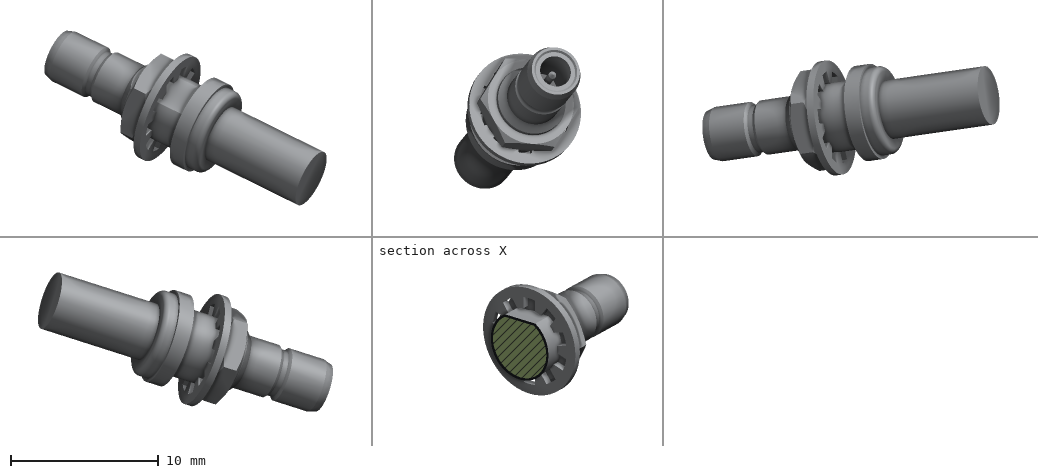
import cadquery as cq
import math


lead_in_end = 0.57
groove_start = 3.1
groove_floor_start = 3.27
groove_floor_end = 3.64
groove_end = 3.88
barrel_end = 6.12
thread_start = 6.6
nut_front = 6.9
washer_front = 8.48
washer_rear = 8.99
flange_front = 10.97
flange_rear = 12.04
housing_rear = 12.99
overall_length = 20.2

mouth_radius = 1.68
barrel_radius = 1.85
groove_radius = 1.64
thread_radius = 2.36
thread_flat_height = 2.0
flange_radius = 3.25
shoulder_radius = 3.0
shoulder_fillet = 0.36
mouth_bevel_radius = 1.5
mouth_bevel_bottom_radius = 1.37
mouth_bevel_depth = 0.1
socket_radius = 1.07
socket_depth = 4.05
contact_radius = 0.26
contact_tip_x = 0.69
contact_tip_length = 0.26

nut_sides = 6
nut_across_flats = 6.0
nut_bore_radius = 2.06
nut_countersink_radius = 2.42
nut_face_thickness = 0.12
nut_chamfer_angle = 30.0

washer_radius = 3.9
notch_count = 10
notch_radius = 3.17
notch_width = 0.95

ferrule_radius = 2.0


def cylinder(x_start, x_end, radius):
    return cq.Workplane("YZ", origin=(x_start, 0, 0)).circle(radius).extrude(x_end - x_start)


def revolve_about_x(points):
    """Revolve a closed (x, radius) outline about the X axis."""
    return cq.Workplane("XY").polyline(points).close().revolve(360, (0, 0, 0), (1, 0, 0))


def make_threaded_section():
    """Cylinder with a conical start and one flat along its +Z side."""
    section = revolve_about_x([
        (barrel_end, 0),
        (barrel_end, barrel_radius),
        (thread_start, thread_radius),
        (flange_front, thread_radius),
        (flange_front, 0),
    ])
    flat_cut = cq.Workplane("XY", origin=(barrel_end, 0, thread_flat_height)).box(
        flange_front - barrel_end, 2 * thread_radius, thread_radius, centered=(False, True, False))
    return section.cut(flat_cut)


def make_barrel():
    """Snap-on barrel with a tapered lead-in and a retaining groove."""
    return revolve_about_x([
        (0, 0),
        (0, mouth_radius),
        (lead_in_end, barrel_radius),
        (groove_start, barrel_radius),
        (groove_floor_start, groove_radius),
        (groove_floor_end, groove_radius),
        (groove_end, barrel_radius),
        (barrel_end, barrel_radius),
        (barrel_end, 0),
    ])


def make_socket_cut():
    """Bevelled mouth and blind socket, leaving the pointed centre contact standing."""
    return revolve_about_x([
        (0, 0),
        (0, mouth_bevel_radius),
        (mouth_bevel_depth, mouth_bevel_bottom_radius),
        (mouth_bevel_depth, socket_radius),
        (socket_depth, socket_radius),
        (socket_depth, contact_radius),
        (contact_tip_x + contact_tip_length, contact_radius),
        (contact_tip_x, 0),
    ])


def make_housing():
    flange = cylinder(flange_front, flange_rear, flange_radius)
    shoulder = cylinder(flange_rear, housing_rear, shoulder_radius)
    shoulder = shoulder.faces(">X").edges().fillet(shoulder_fillet)
    housing = make_barrel().union(make_threaded_section()).union(flange).union(shoulder)
    return housing.cut(make_socket_cut())


def make_nut():
    """Hex nut with chamfered corners, a round washer face and a countersunk bore."""
    face_radius = nut_across_flats / 2
    corner_radius = face_radius / math.cos(math.pi / nut_sides)
    chamfer_length = (corner_radius - face_radius) * math.tan(math.radians(nut_chamfer_angle))
    hex_rear = washer_front - nut_face_thickness

    hexagon = cq.Workplane("YZ", origin=(nut_front, 0, 0)).polygon(nut_sides, 2 * corner_radius)
    hexagon = hexagon.extrude(washer_front - nut_front)
    envelope = revolve_about_x([
        (nut_front, 0),
        (nut_front, face_radius),
        (nut_front + chamfer_length, corner_radius),
        (hex_rear - chamfer_length, corner_radius),
        (hex_rear, face_radius),
        (washer_front, face_radius),
        (washer_front, 0),
    ])
    countersink_depth = nut_countersink_radius - nut_bore_radius
    bore = revolve_about_x([
        (nut_front, 0),
        (nut_front, nut_countersink_radius),
        (nut_front + countersink_depth, nut_bore_radius),
        (washer_front, nut_bore_radius),
        (washer_front, 0),
    ])
    return hexagon.intersect(envelope).cut(bore).cut(make_threaded_section())


def make_washer():
    """Lock washer with notches around its bore that leave internal teeth."""
    thickness = washer_rear - washer_front
    washer = cylinder(washer_front, washer_rear, washer_radius)
    washer = washer.cut(cylinder(washer_front, washer_rear, thread_radius))
    notch_limit = cylinder(washer_front, washer_rear, notch_radius)
    notch = cq.Workplane("XY", origin=(washer_front, 0, 0)).box(
        thickness, notch_width, notch_radius, centered=(False, True, False))
    notch = notch.intersect(notch_limit)
    for index in range(notch_count):
        washer = washer.cut(notch.rotate((0, 0, 0), (1, 0, 0), index * 360 / notch_count))
    return washer


def make_ferrule():
    return cylinder(housing_rear, overall_length, ferrule_radius)


housing = make_housing()
nut = make_nut()
washer = make_washer()
ferrule = make_ferrule()

result = cq.Compound.makeCompound([housing.val(), nut.val(), washer.val(), ferrule.val()])